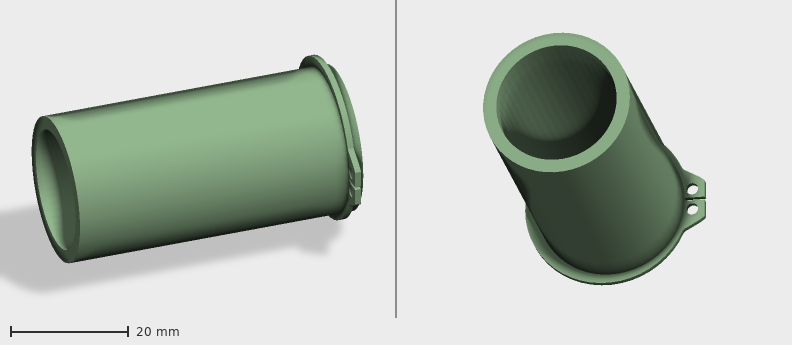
import cadquery as cq

tube_length = 50.8
tube_outer_diameter = 25.4
tube_bore_diameter = 20.85

ring_diameter = 28.4
ring_offset = -0.7
ring_thickness = 1.05
ring_end_distance = 1.6

overall_width = 31.05
lug_tip_x = ring_offset - ring_diameter / 2 + overall_width
lug_tip_height = 3.2
lug_root_x = 12.3
lug_root_height = ((ring_diameter / 2) ** 2 - (lug_root_x - ring_offset) ** 2) ** 0.5
flank_inner = (12.9, 5.25)
flank_outer = (15.2, 3.95)
root_arc_mid = (12.55, 5.45)
tip_arc_mid = (15.7, 3.6)
lug_hole_diameter = 2.05
lug_hole_x = 13.95
lug_hole_height = 1.85
ring_gap = 0.5


def make_tube():
    return (
        cq.Workplane("XZ", origin=(0, tube_length / 2, 0))
        .circle(tube_outer_diameter / 2)
        .circle(tube_bore_diameter / 2)
        .extrude(tube_length)
    )


def lug_blank(plane):
    """Plate covering both lugs, reaching inward to the tube axis."""
    upper = (
        cq.Workplane(plane)
        .lineTo(lug_tip_x, 0)
        .lineTo(lug_tip_x, lug_tip_height)
        .threePointArc(tip_arc_mid, flank_outer)
        .lineTo(*flank_inner)
        .threePointArc(root_arc_mid, (lug_root_x, lug_root_height))
        .lineTo(0, lug_root_height)
        .close()
        .extrude(ring_thickness)
    )
    return upper.union(upper.mirror("XY"))


def make_ring():
    plane = cq.Plane(
        origin=(0, tube_length / 2 - ring_end_distance, 0),
        xDir=(1, 0, 0),
        normal=(0, -1, 0),
    )
    collar = (
        cq.Workplane(plane)
        .center(ring_offset, 0)
        .circle(ring_diameter / 2)
        .extrude(ring_thickness)
    )
    bore = cq.Workplane(plane).circle(tube_outer_diameter / 2).extrude(ring_thickness)
    gap = (
        cq.Workplane(plane)
        .center(lug_tip_x / 2, 0)
        .rect(lug_tip_x, ring_gap)
        .extrude(ring_thickness)
    )
    lug_holes = (
        cq.Workplane(plane)
        .pushPoints([(lug_hole_x, lug_hole_height), (lug_hole_x, -lug_hole_height)])
        .circle(lug_hole_diameter / 2)
        .extrude(ring_thickness)
    )
    return collar.union(lug_blank(plane)).cut(bore).cut(gap).cut(lug_holes)


tube = make_tube()
ring = make_ring()

result = cq.Compound.makeCompound([tube.solids().val(), ring.solids().val()])